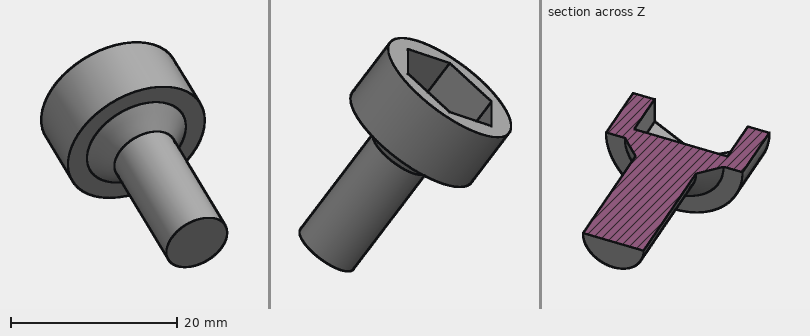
import cadquery as cq
import math

total_length = 26.0
head_diameter = 18.0
head_length = 8.0
shank_diameter = 8.0
neck_length = 2.5
socket_across_flats = 12.22
socket_depth = 6.0

head_radius = head_diameter / 2
shank_radius = shank_diameter / 2
neck_radius = shank_radius + neck_length
neck_end = head_length + neck_length


def make_body():
    """Revolve the head, conical neck and shank about the X axis."""
    return (
        cq.Workplane("XY")
        .moveTo(0, 0)
        .lineTo(0, head_radius)
        .lineTo(head_length, head_radius)
        .lineTo(head_length, neck_radius)
        .lineTo(neck_end, shank_radius)
        .lineTo(total_length, shank_radius)
        .lineTo(total_length, 0)
        .close()
        .revolve(360, (0, 0, 0), (1, 0, 0))
    )


def make_socket():
    """Hexagonal prism with two corners pointing along Z."""
    across_corners = socket_across_flats / math.cos(math.pi / 6)
    return (
        cq.Workplane("YZ")
        .transformed(rotate=(0, 0, 90))
        .polygon(6, across_corners)
        .extrude(socket_depth)
    )


result = make_body().cut(make_socket())